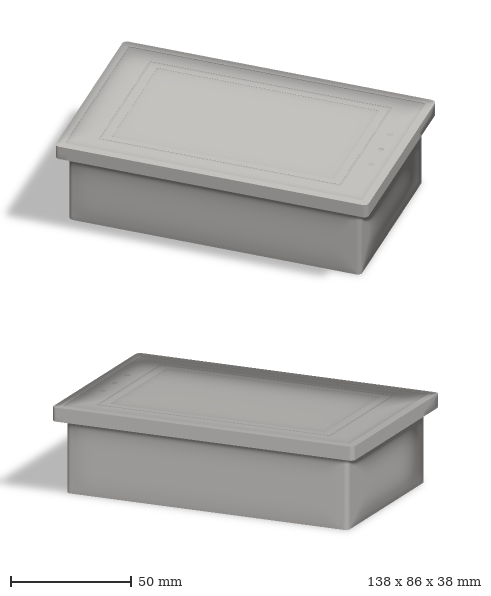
import cadquery as cq

bezel_length = 138
bezel_width = 86.0
bezel_thickness = 6.1
corner_radius = 2.1

overall_height = 38.0
housing_length = 129.0
housing_width = 77.0
housing_height = overall_height - bezel_thickness

panel_length = 131.0
panel_width = 79.0
panel_depth = 0.21

groove_length = 107.1
groove_width = 63.9
groove_band = 1.0
groove_depth = 0.1

screen_length = 98
screen_width = 56.2
screen_depth = 0.1

light_count = 3
light_diameter = 2.5
light_pitch = 12.0
light_x = 59.8
light_depth = 0.1


def block(length, width, height, top_z):
    """Box centred on the Z axis that hangs down from top_z."""
    return cq.Workplane("XY").workplane(offset=top_z).rect(length, width).extrude(-height)


def rounded_block(length, width, height, top_z):
    """Block with its four vertical edges rounded."""
    return block(length, width, height, top_z).edges("|Z").fillet(corner_radius)


def display_groove(top_z):
    """Rectangular ring that frames the display."""
    outside = block(groove_length, groove_width, groove_depth, top_z)
    inside = block(
        groove_length - 2 * groove_band, groove_width - 2 * groove_band, groove_depth, top_z
    )
    return outside.cut(inside)


def indicator_lights(top_z):
    """Column of equally spaced discs, centred on the X axis."""
    return (
        cq.Workplane("XY")
        .workplane(offset=top_z)
        .center(light_x, 0)
        .rarray(1.4, light_pitch, 1, light_count)
        .circle(light_diameter / 2)
        .extrude(-light_depth)
    )


bezel = rounded_block(bezel_length, bezel_width, bezel_thickness, 0)
housing = rounded_block(housing_length, housing_width, housing_height, -bezel_thickness)
panel_z = -panel_depth

result = (
    bezel.union(housing)
    .cut(block(panel_length, panel_width, panel_depth, 0))
    .cut(display_groove(panel_z))
    .cut(block(screen_length, screen_width, screen_depth, panel_z))
    .cut(indicator_lights(panel_z))
)